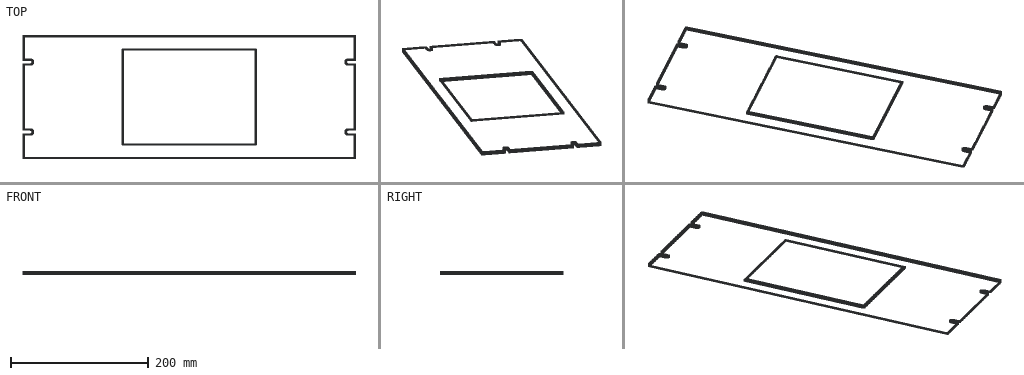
import cadquery as cq

panel_length = 482.5
panel_width = 177.5
panel_thickness = 3.2

window_length = 193.0
window_width = 138.0

slot_width = 6.8
slot_depth = 13.5
slot_spacing = 102.0


def mounting_slot(side, y):
    """Round-bottomed slot cutter centred on the short end at side (-1 or 1)."""
    return (
        cq.Workplane("XY")
        .center(side * panel_length / 2, y)
        .slot2D(2 * slot_depth, slot_width)
        .extrude(panel_thickness)
    )


plate = cq.Workplane("XY").rect(panel_length, panel_width).extrude(panel_thickness)
window = cq.Workplane("XY").rect(window_length, window_width).extrude(panel_thickness)

result = plate.cut(window)
for side in (-1, 1):
    for y in (-slot_spacing / 2, slot_spacing / 2):
        result = result.cut(mounting_slot(side, y))